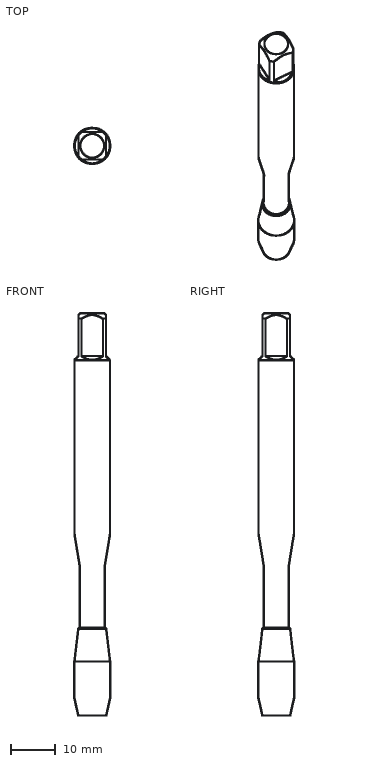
import cadquery as cq

total_length = 90.1

thread_diameter = 8.1
tip_diameter = 6.3
lead_length = 4.05
thread_length = 12.2

shank_diameter = 8.0
neck_diameter = 5.7
lower_cone_diameter = 6.3
lower_cone_top = 19.4
neck_bottom = lower_cone_top + (lower_cone_diameter - neck_diameter) / 2
neck_top = 33.5
shank_bottom = 40.6

square_width = 6.2
square_corner_diameter = 7.8
shank_top = 79.5
corner_bottom = shank_top + (shank_diameter - square_corner_diameter) / 2
square_bottom = 80.5
foot_width = square_width + 2 * (square_bottom - shank_top)
end_face_diameter = 5.3
end_cone_height = 1.3


def turned_body(profile):
    """Revolve (diameter, height) steps, listed from bottom to top, around Z."""
    bottom = profile[0][1]
    top = profile[-1][1]
    outline = [(0, bottom)]
    outline += [(diameter / 2, height) for diameter, height in profile]
    outline += [(0, top)]
    return cq.Workplane("XZ").polyline(outline).close().revolve(360, (0, 0), (0, 1))


def make_threaded_end():
    """Cylindrical working end with a tapered lead at the tip."""
    return turned_body([
        (tip_diameter, 0),
        (thread_diameter, lead_length),
        (thread_diameter, thread_length),
    ])


def make_driving_square():
    """Square drive with round corners, a coned end and 45 degree run-outs at the foot."""
    round_end = turned_body([
        (shank_diameter, shank_top),
        (square_corner_diameter, corner_bottom),
        (square_corner_diameter, total_length - end_cone_height),
        (end_face_diameter, total_length),
    ])
    run_out = (
        cq.Workplane("XY")
        .workplane(offset=shank_top)
        .rect(foot_width, foot_width)
        .workplane(offset=square_bottom - shank_top)
        .rect(square_width, square_width)
        .loft(ruled=True)
    )
    square_bar = (
        cq.Workplane("XY")
        .workplane(offset=square_bottom)
        .rect(square_width, square_width)
        .extrude(total_length - square_bottom)
    )
    return round_end.intersect(run_out.union(square_bar))


def make_shank():
    """Shank with a relieved neck below and a driving square on top."""
    round_shank = turned_body([
        (shank_diameter, thread_length),
        (lower_cone_diameter, lower_cone_top),
        (neck_diameter, neck_bottom),
        (neck_diameter, neck_top),
        (shank_diameter, shank_bottom),
        (shank_diameter, shank_top),
    ])
    return round_shank.union(make_driving_square())


threaded_end = make_threaded_end()
shank = make_shank()

result = cq.Compound.makeCompound([threaded_end.val(), shank.val()])